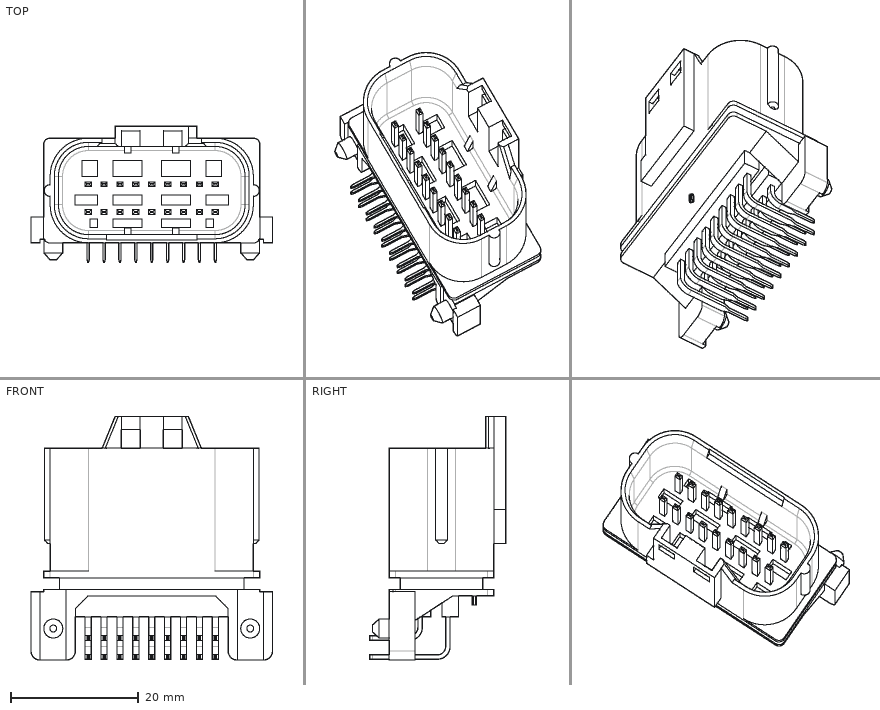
import cadquery as cq

total_height = 38.3

shell_length = 31.95
shell_width = 16.45
shell_corner_radius = 6.0
shell_top = 33.32
wall = 1.3
rim_wall = 0.65
lead_in_depth = 3.05
floor_radius = 0.65
rim_recess_length = 14.17
rim_recess_wall = 0.5

flange_length = 34.0
flange_thickness = 1.05
flange_corner_radius = 1.0
upper_flange_top = 13.98
lower_flange_top = 11.15
neck_length = 29.05
neck_width = 13.02

rib_radius = 0.92
rib_bottom = 18.3
rib_chamfer = 0.57

tab_width = 11.53
tab_back = 10.1
tab_bottom = 18.3
tab_base_top = 23.7
tab_base_right = 7.1
wing_slope = 0.41
wing_chamfer = 0.45
slot_offset = 3.3
slot_width = 2.95
slot_back = 9.4
slot_floor = 26.3
window_top = 36.25

foot_outer = 19.0
foot_inner = 12.0
foot_top = 10.75
foot_back = -4.15
foot_corner_radius = 1.45
foot_notch_chamfer = 2.0
recess_inner = 13.45
recess_outer = 17.55
recess_depth = 0.57
peg_x = 15.47
peg_z = 4.98
peg_radius = 1.5
peg_end_radius = 0.55
peg_cone_start = -9.8
peg_end = -10.88
gusset_start = 1.8
gusset_end_height = 6.25
stub_y = 5.17
stub_width = 0.7
stub_arm = 0.25
stub_bottom = 8.65

pin_count = 9
pin_row_length = 20.0
pin_width = 1.0
pin_thickness = 0.73
pin_bend_radius = 1.65
pin_top = 23.75
pin_top_chamfer = 0.25
pin_end = -11.3
pin_tip_length = 0.45
pin_tip_width = 0.15
pin_tail_width = 0.4
pin_taper_start = -6.8
pin_taper_end = -7.8
pin_rows = ((1.0, 0.5), (-3.37, 3.5))
block_width = 2.65
block_offset = 0.4
block_bottom = 6.8

pocket_depth = 2.85
pockets = (
    (8.5, 11.0, 2.22, 4.7),
    (1.5, 6.05, 2.22, 4.7),
    (8.5, 12.05, -2.3, -0.7),
    (1.5, 6.05, -2.3, -0.7),
    (8.5, 9.73, -5.8, -4.5),
    (1.5, 6.05, -5.8, -4.5),
)

floor_rib_x = 3.8
floor_rib_width = 1.05
floor_rib_reach = 1.05
floor_rib_height = 3.83

half_width = shell_width / 2
inner_y = half_width - wall
lead_in_bottom = shell_top - lead_in_depth
pin_pitch = pin_row_length / (pin_count - 1)
upper_flange_bottom = upper_flange_top - flange_thickness
lower_flange_bottom = lower_flange_top - flange_thickness
recess_face = -half_width + recess_depth


def box(x0, x1, y0, y1, z0, z1):
    return cq.Workplane("XY").box(x1 - x0, y1 - y0, z1 - z0, centered=False).translate((x0, y0, z0))


def rounded_slab(length, width, radius, z0, z1):
    return box(-length / 2, length / 2, -width / 2, width / 2, z0, z1).edges("|Z").fillet(radius)


def shell_outline(inset, z=0):
    """Rounded rectangle parallel to the outer shell, moved inwards by `inset`."""
    return (
        cq.Sketch()
        .rect(shell_length - 2 * inset, shell_width - 2 * inset)
        .vertices()
        .fillet(shell_corner_radius - inset)
        .moved(cq.Location(cq.Vector(0, 0, z)))
    )


def shell_prism(inset, z0, z1):
    return cq.Workplane("XY").placeSketch(shell_outline(inset, z0)).extrude(z1 - z0)


def both_sides(solid):
    return solid.union(solid.mirror("YZ"))


def profile_x(points, x0, x1):
    """Extrudes a (Y, Z) outline from x0 to x1."""
    return cq.Workplane("YZ", origin=(x0, 0, 0)).polyline(points).close().extrude(x1 - x0)


def profile_y(points, y0, y1):
    """Extrudes an (X, Z) outline from y0 to y1."""
    return cq.Workplane("XZ", origin=(0, y0, 0)).polyline(points).close().extrude(y0 - y1)


def make_cavity():
    """Inside of the shell: filleted floor, flared lead-in and a flat recess in the front rim."""
    bore = shell_prism(wall, upper_flange_top, shell_top).faces("<Z").edges().fillet(floor_radius)
    lead_in = (
        cq.Workplane("XY")
        .placeSketch(shell_outline(wall, lead_in_bottom), shell_outline(rim_wall, shell_top))
        .loft()
    )
    half_recess = rim_recess_length / 2
    rim_recess = box(
        -half_recess, half_recess, rim_recess_wall - half_width, 0, lead_in_bottom, shell_top
    )
    return bore.union(lead_in).union(rim_recess)


def make_floor_rib(side):
    """Triangular rib in the corner of floor and wall; side is 1 for the rear wall, -1 for the front."""
    in_wall = side * (inner_y + wall / 2)
    rib_top = upper_flange_top + floor_rib_height
    outline = (
        (in_wall, upper_flange_top),
        (side * (inner_y - floor_rib_reach), upper_flange_top),
        (side * inner_y, rib_top),
        (in_wall, rib_top),
    )
    x0 = floor_rib_x - floor_rib_width / 2
    return profile_x(outline, x0, x0 + floor_rib_width)


def make_side_rib():
    return (
        cq.Workplane("XY", origin=(shell_length / 2, 0, rib_bottom))
        .circle(rib_radius)
        .extrude(shell_top - rib_bottom)
        .faces("<Z")
        .chamfer(rib_chamfer)
        .cut(box(0, shell_length / 2 - rim_wall / 2, -rib_radius, rib_radius, 0, shell_top))
    )


def make_wing():
    """Sloped-sided plate that carries the rear wall up to the tab top."""
    half_top = tab_width / 2
    half_base = half_top + wing_slope * (total_height - lead_in_bottom)
    outline = (
        (-half_base, lead_in_bottom),
        (half_base, lead_in_bottom),
        (half_top, total_height),
        (-half_top, total_height),
    )
    plate = profile_y(outline, inner_y, half_width)
    sloped_edges = plate.faces("<Y").edges("not #Z")
    return sloped_edges.chamfer(wing_chamfer)


def make_tab():
    half_tab = tab_width / 2
    in_wall = half_width - rim_wall / 2
    tab = box(-half_tab, half_tab, in_wall, tab_back, tab_bottom, total_height)
    base = box(-half_tab, tab_base_right, in_wall, tab_back, tab_bottom, tab_base_top)
    return tab.union(base).union(make_wing())


def make_slot():
    """Slot open to the cavity and the top, with a window through the tab's back above the shell."""
    x0 = slot_offset - slot_width / 2
    x1 = x0 + slot_width
    slot = box(x0, x1, 0, slot_back, slot_floor, total_height)
    window = box(x0, x1, 0, tab_back, shell_top, window_top)
    return slot.union(window)


def make_foot():
    """Right-hand foot with the gusset behind it and the sloped corner inside it."""
    foot = box(foot_inner, foot_outer, -half_width, foot_back, 0, foot_top)
    foot = foot.edges("|Y and <Z").fillet(foot_corner_radius)
    notch_corner = profile_y(
        (
            (foot_inner, lower_flange_bottom),
            (foot_inner - foot_notch_chamfer, lower_flange_bottom),
            (foot_inner, lower_flange_bottom - foot_notch_chamfer),
        ),
        -half_width,
        foot_back,
    )
    gusset = profile_x(
        (
            (gusset_start, lower_flange_bottom),
            (foot_back, gusset_end_height),
            (foot_back, lower_flange_bottom),
        ),
        foot_inner,
        flange_length / 2,
    )
    return foot.union(notch_corner).union(gusset)


def make_foot_recess():
    return box(recess_inner, recess_outer, -half_width, recess_face, 0, lower_flange_top)


def make_peg():
    return (
        cq.Workplane("YZ")
        .polyline(
            (
                (recess_face, 0),
                (recess_face, peg_radius),
                (peg_cone_start, peg_radius),
                (peg_end, peg_end_radius),
                (peg_end, 0),
            )
        )
        .close()
        .revolve(360, (0, 0, 0), (1, 0, 0))
        .translate((peg_x, 0, peg_z))
    )


def make_stub():
    """Cross-shaped stub under the rear of the lower flange."""
    half = stub_width / 2
    half_arm = stub_arm / 2
    long_arm = box(-half_arm, half_arm, -half, half, stub_bottom, lower_flange_bottom)
    cross = long_arm.union(long_arm.rotate((0, 0, 0), (0, 0, 1), 90))
    return cross.translate((0, stub_y, 0))


def make_pin(leg_y, tail_z):
    """Upright pin bent forward into a tail that narrows towards its tip."""
    path = (
        cq.Workplane("YZ")
        .moveTo(leg_y, upper_flange_top)
        .lineTo(leg_y, tail_z + pin_bend_radius)
        .radiusArc((leg_y - pin_bend_radius, tail_z), pin_bend_radius)
        .lineTo(pin_taper_start, tail_z)
    )
    leg_start = cq.Workplane("XY", origin=(0, leg_y, upper_flange_top))
    bent = leg_start.rect(pin_width, pin_thickness).sweep(path)
    contact = (
        leg_start.rect(pin_width, pin_thickness)
        .extrude(pin_top - upper_flange_top, combine=False)
        .faces(">Z")
        .chamfer(pin_top_chamfer)
    )
    right_edge = (
        (pin_width / 2, pin_taper_start),
        (pin_tail_width / 2, pin_taper_end),
        (pin_tail_width / 2, pin_end + pin_tip_length),
        (pin_tip_width / 2, pin_end),
    )
    left_edge = tuple((-x, y) for x, y in reversed(right_edge))
    tail = (
        cq.Workplane("XY", origin=(0, 0, tail_z - pin_thickness / 2))
        .polyline(right_edge + left_edge)
        .close()
        .extrude(pin_thickness)
    )
    return contact.union(bent).union(tail)


def make_block(leg_y):
    centre = leg_y + block_offset
    return box(
        -foot_inner, foot_inner, centre - block_width / 2, centre + block_width / 2,
        block_bottom, lower_flange_bottom,
    )


housing = rounded_slab(
    flange_length, shell_width, flange_corner_radius, upper_flange_bottom, upper_flange_top
)
housing = housing.union(shell_prism(0, upper_flange_bottom, shell_top))
housing = housing.union(both_sides(make_side_rib()))
housing = housing.cut(make_cavity())
housing = housing.union(make_tab()).cut(both_sides(make_slot()))
for side in (1, -1):
    housing = housing.union(both_sides(make_floor_rib(side)))
housing = housing.union(
    box(-neck_length / 2, neck_length / 2, -neck_width / 2, neck_width / 2,
        lower_flange_top, upper_flange_bottom)
)
housing = housing.union(
    rounded_slab(flange_length, shell_width, flange_corner_radius, lower_flange_bottom, lower_flange_top)
)
housing = housing.union(both_sides(make_foot())).cut(both_sides(make_foot_recess()))
housing = housing.union(both_sides(make_peg()))
housing = housing.union(make_stub())

for near_x, far_x, low_y, high_y in pockets:
    pocket = box(near_x, far_x, low_y, high_y, upper_flange_top - pocket_depth, upper_flange_top)
    housing = housing.cut(both_sides(pocket))

for leg_y, tail_z in pin_rows:
    housing = housing.union(make_block(leg_y))
    pin = make_pin(leg_y, tail_z)
    for column in range(pin_count):
        pin_x = column * pin_pitch - pin_row_length / 2
        housing = housing.union(pin.translate((pin_x, 0, 0)))

result = housing